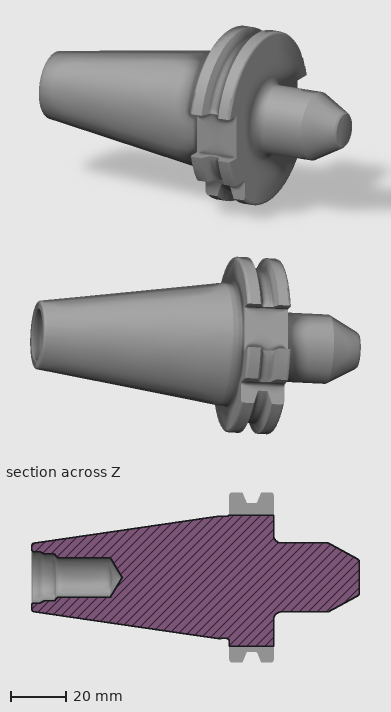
import cadquery as cq
import math

total_length = 118.2
gauge_x = 67.8
shank_land_x = 68.7
flange_start = 71.3
flange_end = 87.4
nose_cone_x = 107.0
end_chamfer = 0.6

gauge_radius = 22.2
taper_slope = 7 / 48
shank_round = 1.0
land_radius = 22.1
land_fillet = 1.0

flange_diameter = 63.5
flange_radius = flange_diameter / 2
flange_round = 1.1
groove_center_x = 79.5
groove_mouth_width = 6.7
groove_floor_width = 3.5
groove_floor_radius = 28.0
groove_floor_fillet = 0.6

nose_radius = 12.5
nose_tip_radius = 6.7
nose_fillet = 2.7

mouth_radius = 9.2
mouth_chamfer = 0.5
mouth_depth = 2.8
bore_radius = 8.4
bore_start = 4.5
bore_end = 8.5
bore_floor_round = 0.6
thread_radius = 7.0
thread_start = 9.6
thread_depth = 28.4
drill_half_angle = math.radians(59)

slot_width = 16.1
back_slot_floor = 22.6
front_slot_floor = 24.8
notch_offset = 18.5
notch_corner_radius = 1.0


def revolve_about_x(profile):
    """Sweep a closed half profile a full turn about the X axis."""
    return profile.revolve(360, (0, 0, 0), (1, 0, 0))


def round_rims(body, x_min, x_max, r_min, r_max, radius):
    """Round every circular edge whose station and radius lie in the given ranges."""
    rims = [
        edge
        for edge in body.edges("%CIRCLE").vals()
        if x_min < edge.Center().x < x_max and r_min < edge.radius() < r_max
    ]
    return body.newObject(rims).fillet(radius)


def make_body():
    """Revolve the outer profile of shank, flange and nose, then round its rims."""
    small_radius = gauge_radius - gauge_x * taper_slope
    groove_mouth_half = groove_mouth_width / 2
    groove_floor_half = groove_floor_width / 2
    fillet_mid = nose_fillet * (1 - math.sqrt(0.5))
    body = revolve_about_x(
        cq.Workplane("XY")
        .lineTo(0, small_radius)
        .lineTo(gauge_x, gauge_radius)
        .lineTo(shank_land_x, land_radius)
        .lineTo(flange_start, land_radius)
        .lineTo(flange_start, flange_radius)
        .lineTo(groove_center_x - groove_mouth_half, flange_radius)
        .lineTo(groove_center_x - groove_floor_half, groove_floor_radius)
        .lineTo(groove_center_x + groove_floor_half, groove_floor_radius)
        .lineTo(groove_center_x + groove_mouth_half, flange_radius)
        .lineTo(flange_end, flange_radius)
        .lineTo(flange_end, nose_radius + nose_fillet)
        .threePointArc(
            (flange_end + fillet_mid, nose_radius + fillet_mid),
            (flange_end + nose_fillet, nose_radius),
        )
        .lineTo(nose_cone_x, nose_radius)
        .lineTo(total_length - end_chamfer, nose_tip_radius)
        .lineTo(total_length, nose_tip_radius - end_chamfer)
        .lineTo(total_length, 0)
        .close()
    )
    margin = 0.1
    flange_rim = (flange_radius - margin, flange_radius + margin)
    floor_rim = (groove_floor_radius - margin, groove_floor_radius + margin)
    land_rim = (land_radius - margin, land_radius + margin)
    body = round_rims(body, -margin, margin, 0, gauge_radius, shank_round)
    body = round_rims(body, flange_start - margin, flange_start + margin, *land_rim, land_fillet)
    body = round_rims(body, flange_start - margin, flange_start + margin, *flange_rim, flange_round)
    body = round_rims(body, flange_end - margin, flange_end + margin, *flange_rim, flange_round)
    return round_rims(body, flange_start, flange_end, *floor_rim, groove_floor_fillet)


def make_bore():
    """Revolve the stepped blind bore with its conical drill point."""
    drill_tip_x = thread_depth + thread_radius / math.tan(drill_half_angle)
    round_rise = bore_floor_round * math.sqrt(0.5)
    return revolve_about_x(
        cq.Workplane("XY")
        .lineTo(0, mouth_radius + mouth_chamfer)
        .lineTo(mouth_chamfer, mouth_radius)
        .lineTo(mouth_depth, mouth_radius)
        .lineTo(bore_start, bore_radius)
        .lineTo(bore_end - bore_floor_round, bore_radius)
        .threePointArc(
            (bore_end - bore_floor_round + round_rise, bore_radius - bore_floor_round + round_rise),
            (bore_end, bore_radius - bore_floor_round),
        )
        .lineTo(thread_start, thread_radius)
        .lineTo(thread_depth, thread_radius)
        .lineTo(drill_tip_x, 0)
        .close()
    )


def make_slot(floor, side):
    """Drive slot outward from its floor on the +Y (side 1) or -Y (side -1) face."""
    length = flange_end - flange_start
    center_y = side * (floor + flange_radius / 2)
    return cq.Workplane("XY").box(length, flange_radius, slot_width).translate(
        (flange_start + length / 2, center_y, 0)
    )


def make_notch():
    """Square notch at the -Y, -Z quarter with a rounded inner corner."""
    return (
        cq.Workplane("XY")
        .box(flange_end - flange_start, flange_radius, flange_radius, centered=False)
        .edges(">Y and >Z")
        .fillet(notch_corner_radius)
        .translate((flange_start, -notch_offset - flange_radius, -notch_offset - flange_radius))
    )


result = (
    make_body()
    .cut(make_bore())
    .cut(make_slot(back_slot_floor, 1))
    .cut(make_slot(front_slot_floor, -1))
    .cut(make_notch())
)